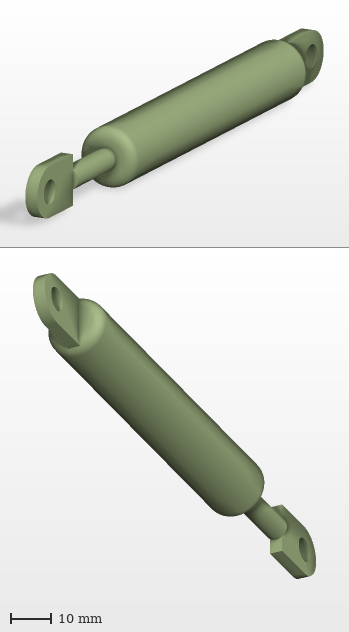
import cadquery as cq

overall_length = 153.0
housing_diameter = 15.8
housing_length = 94.3
housing_edge_radius = 2.9
rod_diameter = 6.0
eye_length = 19.1
eye_width = 13.3
eye_thickness = 3.4
eye_hole_diameter = 6.3

rear_tip_y = overall_length / 2
front_tip_y = -overall_length / 2
housing_rear_y = rear_tip_y - eye_length
housing_front_y = housing_rear_y - housing_length
rod_front_y = front_tip_y + eye_length


def round_bar(diameter, start_y, end_y):
    """Solid round bar along the Y axis."""
    plane = cq.Plane(origin=(0, start_y, 0), xDir=(1, 0, 0), normal=(0, 1, 0))
    return cq.Workplane(plane).circle(diameter / 2).extrude(end_y - start_y)


def eye_plate(tip_y, root_y):
    """Flat mounting eye in the YZ plane, with a round tip and a cross hole."""
    eye_radius = eye_width / 2
    toward_tip = 1 if tip_y > root_y else -1
    center_y = tip_y - toward_tip * eye_radius
    plate = (
        cq.Workplane("YZ")
        .moveTo(root_y, -eye_radius)
        .lineTo(center_y, -eye_radius)
        .threePointArc((tip_y, 0), (center_y, eye_radius))
        .lineTo(root_y, eye_radius)
        .close()
        .extrude(eye_thickness / 2, both=True)
    )
    hole = (
        cq.Workplane("YZ")
        .center(center_y, 0)
        .circle(eye_hole_diameter / 2)
        .extrude(eye_thickness, both=True)
    )
    return plate.cut(hole)


def make_housing():
    """Cylinder with rounded ends and the rear mounting eye."""
    cylinder = round_bar(housing_diameter, housing_front_y, housing_rear_y)
    cylinder = cylinder.faces("<Y or >Y").edges().fillet(housing_edge_radius)
    return cylinder.union(eye_plate(rear_tip_y, housing_rear_y - housing_edge_radius))


def make_piston_rod():
    """Round rod that meets the front face of the housing and carries the front eye."""
    rod = round_bar(rod_diameter, rod_front_y, housing_front_y)
    return rod.union(eye_plate(front_tip_y, rod_front_y))


housing = make_housing()
piston_rod = make_piston_rod()

result = cq.Compound.makeCompound([housing.solids().val(), piston_rod.solids().val()])